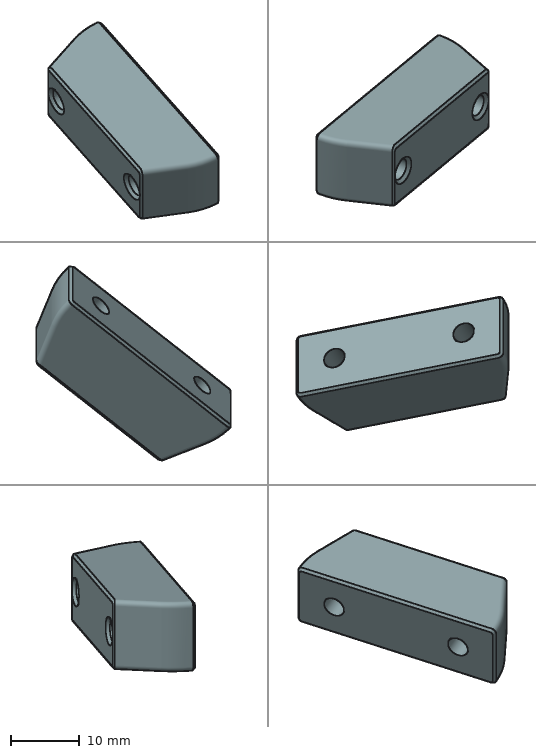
import cadquery as cq
import math

length = 32.0
depth = 11.5
height = 10.6

side_straight = 0.77
side_arc_depth = 4.25
side_slope = math.radians(23)

edge_chamfer = 0.4
side_fillet = 0.8

hole_spacing = 20.0
hole_diameter = 3.2
countersink_diameter = 4.22
countersink_angle = 90.0

half_length = length / 2
back_y = depth / 2
front_y = -depth / 2
arc_start_y = back_y - side_straight
arc_end_y = arc_start_y - side_arc_depth
arc_radius = side_arc_depth / math.sin(side_slope)


def arc_point(angle):
    """Point on the right side arc, turned by angle from its back end."""
    x = half_length - arc_radius * (1 - math.cos(angle))
    y = arc_start_y - arc_radius * math.sin(angle)
    return x, y


front_half_width = arc_point(side_slope)[0] - (arc_end_y - front_y) * math.tan(side_slope)


def mirrored(point):
    return -point[0], point[1]


def make_body():
    arc_middle = arc_point(side_slope / 2)
    arc_end = arc_point(side_slope)
    front_corner = (front_half_width, front_y)
    return (
        cq.Workplane("XY")
        .workplane(offset=-height / 2)
        .moveTo(-half_length, back_y)
        .lineTo(half_length, back_y)
        .lineTo(half_length, arc_start_y)
        .threePointArc(arc_middle, arc_end)
        .lineTo(*front_corner)
        .lineTo(*mirrored(front_corner))
        .lineTo(*mirrored(arc_end))
        .threePointArc(mirrored(arc_middle), (-half_length, arc_start_y))
        .close()
        .extrude(height)
    )


def round_side_edges(body):
    """Round the top and bottom edges of both curved sides."""
    side_edges = body.faces("<Z or >Z").edges("not(<Y or >Y)")
    return side_edges.fillet(side_fillet)


def chamfer_back(body):
    """Chamfer the outline of the back face."""
    return body.faces(">Y").edges().chamfer(edge_chamfer)


def chamfer_front(body):
    """Bevel the front face; each bevel leans equally on the two faces it joins."""
    side_turn = math.pi / 2 - side_slope
    side_setback = edge_chamfer * math.tan(side_turn / 2)
    side_spread = edge_chamfer / math.tan(side_turn / 2)
    rim_width = 2 * (front_half_width - side_setback)
    rim_height = height - 2 * edge_chamfer
    rim = cq.Sketch().rect(rim_width, rim_height).vertices().fillet(side_fillet - edge_chamfer)
    base = cq.Sketch().rect(rim_width + 2 * side_spread, height).vertices().fillet(side_fillet)
    bevel = (
        cq.Workplane("XZ", origin=(0, front_y, 0))
        .placeSketch(rim, base.moved(cq.Location(cq.Vector(0, 0, -edge_chamfer))))
        .loft(ruled=True)
    )
    front_slab = (
        cq.Workplane("XZ", origin=(0, front_y, 0))
        .rect(length, height)
        .extrude(-edge_chamfer)
    )
    return body.cut(front_slab.cut(bevel))


def drill_holes(body):
    """Drill the through holes, countersunk from the front face."""
    return (
        body.faces("<Y")
        .workplane(origin=(0, front_y, 0))
        .pushPoints([(-hole_spacing / 2, 0), (hole_spacing / 2, 0)])
        .cskHole(hole_diameter, countersink_diameter, countersink_angle)
    )


body = round_side_edges(make_body())
body = chamfer_front(chamfer_back(body))
result = drill_holes(body)